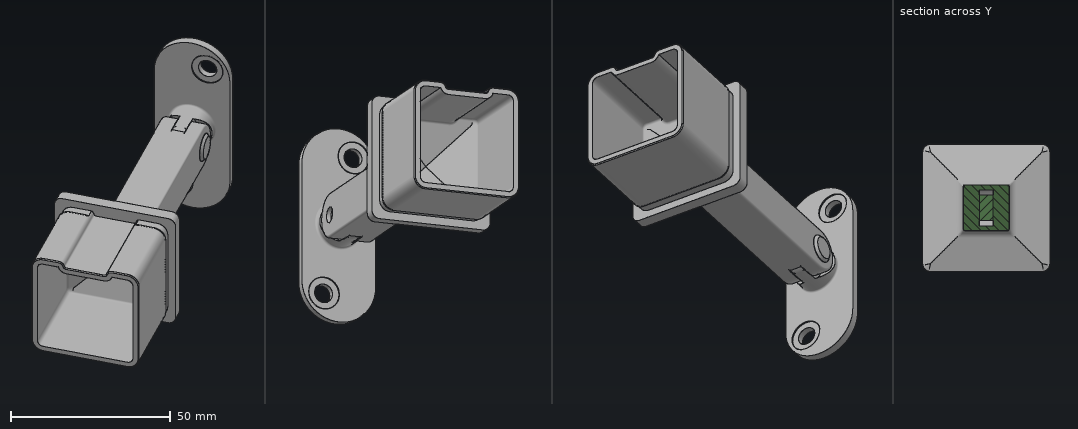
import cadquery as cq
import math


total_length = 110.5
plate_height = 63.0
plate_width = 25.0
plate_thickness = 2.9
screw_hole_diameter = 6.0
screw_recess_diameter = 10.3
screw_recess_depth = 0.4
screw_hole_x = 5.0
screw_hole_z = 22.5

arm_width = 14.5
arm_radius = arm_width / 2
hinge_y = -13.0
hinge_clearance_radius = 8.2
tongue_width = 4.3
neck_fillet = 0.8

pin_diameter = 5.0
pin_head_diameter = 9.1
pin_head_height = 1.0
pin_head_chamfer = 0.9
pin_end_recess = 1.4

arm_edge_fillet = 0.8
flange_width = 40.0
flange_thickness = 4.0
flange_corner_radius = 2.5
roof_angle = 16.3
arm_root_fillet = 3.0

socket_width = 35.5
socket_length = 30.1
socket_corner_radius = 3.9
socket_wall = 2.0
socket_end_chamfer = 0.3
relief_depth = 0.3
relief_length = 3.0
channel_top_half_width = 8.8
channel_floor_half_width = 6.2
channel_depth = 2.0
channel_lip_radius = 2.0
cavity_floor_fillet = 1.0

roof_slope = math.tan(math.radians(roof_angle))
flange_front_y = socket_length - total_length
flange_back_y = flange_front_y + flange_thickness


def disc_across_x(radius, x_start, x_end):
    """Cylinder about the hinge axis between two X positions."""
    return (
        cq.Workplane("YZ", origin=(x_start, hinge_y, 0))
        .circle(radius)
        .extrude(x_end - x_start)
    )


def hinge_end_limit(start_y):
    """Block from start_y to the hinge axis, rounded about that axis at the hinge end."""
    block = (
        cq.Workplane("XZ", origin=(0, start_y, 0))
        .rect(flange_width, flange_width)
        .extrude(start_y - hinge_y)
    )
    return block.union(disc_across_x(arm_radius, -arm_radius, arm_radius))


def rounded_square_bar(width, corner_radius, y_start, length):
    """Square bar with rounded corners running along -Y from y_start."""
    return (
        cq.Workplane("XZ", origin=(0, y_start, 0))
        .rect(width, width)
        .extrude(length)
        .edges("|Y")
        .fillet(corner_radius)
    )


def rounded_pyramid(width, corner_radius, base_y):
    """Pyramid on a rounded square, pointing to +Y; its corner cones run out into sharp ridges."""
    outline = (
        cq.Sketch()
        .rect(width, width)
        .vertices()
        .fillet(corner_radius)
    )
    return (
        cq.Workplane("XZ", origin=(0, base_y, 0))
        .placeSketch(outline)
        .extrude(-width / 2 * roof_slope, taper=90 - roof_angle)
    )


def make_wall_plate():
    """Plate with two recessed screw holes and a round neck ending in the hinge tongue."""
    plate = (
        cq.Workplane("XZ")
        .slot2D(plate_height, plate_width, 90)
        .extrude(plate_thickness)
    )

    neck_end_y = hinge_y - arm_radius
    neck = cq.Workplane("XZ").circle(arm_radius).extrude(-neck_end_y)
    neck = neck.intersect(hinge_end_limit(0))

    body = plate.union(neck)
    neck_base = cq.selectors.BoxSelector(
        (-0.1, -plate_thickness - 0.1, -0.1),
        (0.1, -plate_thickness + 0.1, 0.1),
    )
    body = body.edges("%CIRCLE").edges(neck_base).fillet(neck_fillet)

    body = body.cut(disc_across_x(hinge_clearance_radius, tongue_width / 2, arm_width))
    body = body.cut(disc_across_x(hinge_clearance_radius, -arm_width, -tongue_width / 2))
    body = body.cut(disc_across_x(pin_diameter / 2, -arm_width, arm_width))

    screw_places = [(screw_hole_x, screw_hole_z), (-screw_hole_x, -screw_hole_z)]
    return (
        body.copyWorkplane(cq.Workplane("XZ", origin=(0, -plate_thickness, 0)))
        .pushPoints(screw_places)
        .cboreHole(screw_hole_diameter, screw_recess_diameter, screw_recess_depth)
    )


def socket_outline(start_y):
    """Rounded square with a channel in the middle of its upper side, in the plane at start_y."""
    half = socket_width / 2
    floor_z = half - channel_depth
    run = channel_top_half_width - channel_floor_half_width
    radius_sum = (run**2 + channel_depth**2) / (2 * channel_depth)
    floor_radius = radius_sum - channel_lip_radius
    turn = math.asin(run / radius_sum)
    join_x = channel_top_half_width - channel_lip_radius * math.sin(turn)
    join_z = half - channel_lip_radius * (1 - math.cos(turn))
    lip_mid_x = channel_top_half_width - channel_lip_radius * math.sin(turn / 2)
    lip_mid_z = half - channel_lip_radius * (1 - math.cos(turn / 2))
    floor_mid_x = channel_floor_half_width + floor_radius * math.sin(turn / 2)
    floor_mid_z = floor_z + floor_radius * (1 - math.cos(turn / 2))

    corner = half - socket_corner_radius
    corner_mid = corner + socket_corner_radius * math.sqrt(0.5)
    return (
        cq.Workplane("XZ", origin=(0, start_y, 0))
        .moveTo(channel_floor_half_width, floor_z)
        .threePointArc((floor_mid_x, floor_mid_z), (join_x, join_z))
        .threePointArc((lip_mid_x, lip_mid_z), (channel_top_half_width, half))
        .lineTo(corner, half)
        .threePointArc((corner_mid, corner_mid), (half, corner))
        .lineTo(half, -corner)
        .threePointArc((corner_mid, -corner_mid), (corner, -half))
        .lineTo(-corner, -half)
        .threePointArc((-corner_mid, -corner_mid), (-half, -corner))
        .lineTo(-half, corner)
        .threePointArc((-corner_mid, corner_mid), (-corner, half))
        .lineTo(-channel_top_half_width, half)
        .threePointArc((-lip_mid_x, lip_mid_z), (-join_x, join_z))
        .threePointArc((-floor_mid_x, floor_mid_z), (-channel_floor_half_width, floor_z))
        .close()
    )


def make_socket():
    """Outside of the socket, with the shallow relief next to the flange."""
    socket = socket_outline(flange_front_y).extrude(socket_length)
    socket = socket.faces("<Y").chamfer(socket_end_chamfer)
    relief_core = rounded_square_bar(
        socket_width - 2 * relief_depth,
        socket_corner_radius - relief_depth,
        flange_front_y,
        relief_length,
    )
    free_end = (
        cq.Workplane("XZ", origin=(0, flange_front_y - relief_length, 0))
        .rect(flange_width, flange_width)
        .extrude(socket_length)
    )
    return socket.intersect(relief_core.union(free_end))


def make_cavity():
    """Space inside the socket, with a pyramid-shaped floor and a filleted floor edge."""
    width = socket_width - 2 * socket_wall
    corner_radius = socket_corner_radius - socket_wall
    floor_height = width / 2 * roof_slope
    floor = rounded_pyramid(width, corner_radius, flange_front_y)
    space = rounded_square_bar(width, corner_radius, flange_front_y, socket_length).union(floor)
    bore = socket_outline(flange_front_y + floor_height).offset2D(-socket_wall)
    space = space.intersect(bore.extrude(floor_height + socket_length))
    floor_edges = space.faces("#Y").edges("not |Y").edges("not <Y")
    return floor_edges.fillet(cavity_floor_fillet)


def flared_profile(plane):
    """Arm outline in a plane that holds Y, flaring in arcs to lie tangent on the sloped flange back."""
    angle = math.radians(roof_angle)
    centre_offset = arm_radius + arm_root_fillet
    roof_y_below_centre = flange_back_y + (flange_width / 2 - centre_offset) * roof_slope
    flare_y = roof_y_below_centre + arm_root_fillet / math.cos(angle)
    mid_angle = math.radians(225) - angle / 2
    mid_offset = centre_offset + arm_root_fillet * math.cos(mid_angle)
    mid_y = flare_y + arm_root_fillet * math.sin(mid_angle)
    end_offset = centre_offset - arm_root_fillet * math.sin(angle)
    end_y = flare_y - arm_root_fillet * math.cos(angle)
    tip_y = hinge_y + arm_radius
    return (
        cq.Workplane(plane)
        .moveTo(end_y, -end_offset)
        .threePointArc((mid_y, -mid_offset), (flare_y, -arm_radius))
        .lineTo(tip_y, -arm_radius)
        .lineTo(tip_y, arm_radius)
        .lineTo(flare_y, arm_radius)
        .threePointArc((mid_y, mid_offset), (end_y, end_offset))
        .close()
        .extrude(flange_width, both=True)
    )


def make_arm():
    """Forked arm, the flange with its sloped back, and the socket."""
    shaft = flared_profile("YZ").intersect(flared_profile("YX"))
    shaft = shaft.intersect(hinge_end_limit(flange_back_y))
    shaft = shaft.faces("+X or -X").edges("not |Z").fillet(arm_edge_fillet)

    flange = rounded_square_bar(flange_width, flange_corner_radius, flange_back_y, flange_thickness)
    roof = rounded_pyramid(flange_width, flange_corner_radius, flange_back_y)
    body = shaft.union(roof)
    body = body.union(flange).union(make_socket()).cut(make_cavity())

    slot = disc_across_x(hinge_clearance_radius, -tongue_width / 2, tongue_width / 2)
    pin_hole = disc_across_x(pin_diameter / 2, -arm_width, arm_width)
    return body.cut(slot).cut(pin_hole)


def make_hinge_pin():
    """Pin with a chamfered head on the +X side; its other end stays below the arm surface."""
    shank = disc_across_x(pin_diameter / 2, pin_end_recess - arm_radius, arm_radius)
    head = disc_across_x(pin_head_diameter / 2, arm_radius, arm_radius + pin_head_height)
    head = head.faces(">X").edges().chamfer(pin_head_chamfer)
    return shank.union(head)


wall_plate = make_wall_plate()
arm = make_arm()
hinge_pin = make_hinge_pin()

result = cq.Compound.makeCompound([wall_plate.val(), arm.val(), hinge_pin.val()])